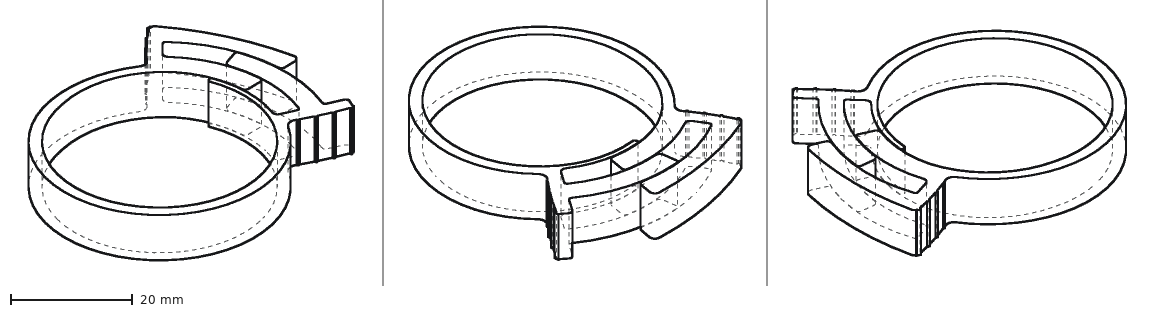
import cadquery as cq
import math


width = 9.0
ring_outer_r = 21.53
bore_r = 19.3

clearance = 0.08
flap_outer_r = 20.32
lower_jaw_outer_r = 24.72
middle_jaw_outer_r = 28.98
lower_jaw_inner_r = flap_outer_r + clearance
middle_jaw_inner_r = lower_jaw_outer_r + clearance
upper_jaw_inner_r = middle_jaw_outer_r + clearance
jaw_overlap = 9.0
flap_overlap = 10.4
upper_jaw_tip_r = 1.1
upper_jaw_heel_r = 0.8
middle_jaw_tip_r = 0.6
middle_jaw_heel_r = 1.0
lower_jaw_corner_r = 0.8
flap_corner_r = 0.4

back_r = 55.5
back_center_x = 4.9
back_center_y = -22.43

wall_outer_shift = 2.25
wall_end_lean = 38.0
wall_bore_mid_angle = 148.0
wall_bore_mid_r = 19.87
wall_bore_end_lean = 28.0

stem_root_r = 20.6
stem_inner_lean = 33.5
stem_lean_span = 12.0
left_root_lean = 39.6
left_lean_loss = 1.9
right_root_lean = 39.8
right_lean_loss = 1.6
left_stem_top_r = 34.5
right_stem_top_r = 33.35
left_neck_r = 1.5
right_neck_r = 1.7
window_inner_corner_r = 1.0
window_outer_corner_r = 0.5
notch_corner_r = 0.5
tip_inner_corner_r = 0.7
tip_outer_corner_r = 0.4
back_corner_r = 1.0

ridge_count = 4
ridge_lean = 0.6
ridge_root_lean = 0.3
ridge_foot = 0.3
ridge_tail = 0.6
left_ridge_first_r = 24.3
left_ridge_pitch = 2.9
right_ridge_first_r = 23.55
right_ridge_pitch = 3.12

LEFT = 1
RIGHT = -1


def polar(radius, angle):
    """Point at a radius and an angle from +X."""
    turn = math.radians(angle)
    return (radius * math.cos(turn), radius * math.sin(turn))


def leaning(radius, lean, side):
    """Point at a radius and a lean from the Y axis, on the given side."""
    return polar(radius, 90 + side * lean)


def ring_sector(inner_r, outer_r, start, end):
    """Part of the band between two radii and two angles."""
    middle = (start + end) / 2
    return (
        cq.Workplane("XY")
        .moveTo(*polar(inner_r, start))
        .lineTo(*polar(outer_r, start))
        .threePointArc(polar(outer_r, middle), polar(outer_r, end))
        .lineTo(*polar(inner_r, end))
        .threePointArc(polar(inner_r, middle), polar(inner_r, start))
        .close()
        .extrude(width)
    )


def round_corner(body, point, radius):
    """Fillet the edge along Z nearest to a point in plan."""
    nearest = cq.selectors.NearestToPointSelector((point[0], point[1], width / 2))
    return body.edges("|Z").edges(nearest).fillet(radius)


def stem(side, edge, top_r):
    """Plain stem with a radial inner edge and a gently bowed outer edge."""
    middle_r = (stem_root_r + top_r) / 2
    return (
        cq.Workplane("XY")
        .moveTo(*leaning(stem_root_r, stem_inner_lean, side))
        .lineTo(*leaning(stem_root_r, edge(stem_root_r), side))
        .threePointArc(leaning(middle_r, edge(middle_r), side), leaning(top_r, edge(top_r), side))
        .lineTo(*leaning(top_r, stem_inner_lean, side))
        .close()
        .extrude(width)
    )


def left_edge_lean(radius):
    """Lean of the outer edge of the left stem, straightening with radius."""
    return left_root_lean - left_lean_loss * ((radius - stem_root_r) / stem_lean_span) ** 2


def right_edge_lean(radius):
    """Lean of the outer edge of the right stem, straightening with radius."""
    return right_root_lean - right_lean_loss * ((radius - stem_root_r) / stem_lean_span) ** 2


def add_ridges(body, side, edge, first_r, pitch):
    """Add the row of sawtooth ridges along the outer edge of a stem."""
    for index in range(ridge_count):
        crest_r = first_r + index * pitch
        foot_r = crest_r - ridge_foot
        tail_r = crest_r + ridge_tail
        profile = [
            leaning(foot_r, edge(foot_r) - ridge_root_lean, side),
            leaning(crest_r, edge(crest_r) + ridge_lean, side),
            leaning(tail_r, edge(tail_r) - ridge_root_lean, side),
        ]
        body = body.union(cq.Workplane("XY").polyline(profile).close().extrude(width))
    return body


def left_wall():
    """Ring wall from the -X axis to the left stem, spiralling outward."""
    arc_r = ring_outer_r + wall_outer_shift
    arc_end = 90 + wall_end_lean
    arc_middle = (180 + arc_end) / 2
    middle = polar(arc_r, arc_middle)
    end = polar(arc_r, arc_end)
    return (
        cq.Workplane("XY")
        .moveTo(-bore_r, 0)
        .lineTo(-ring_outer_r, 0)
        .threePointArc(
            (middle[0] + wall_outer_shift, middle[1]),
            (end[0] + wall_outer_shift, end[1]),
        )
        .lineTo(*leaning(lower_jaw_outer_r, stem_inner_lean, LEFT))
        .lineTo(*leaning(lower_jaw_inner_r, wall_bore_end_lean, LEFT))
        .threePointArc(polar(wall_bore_mid_r, wall_bore_mid_angle), (-bore_r, 0))
        .close()
        .extrude(width)
    )


def right_half():
    """Ring, inner flap, right stem and the middle jaw."""
    stem_angle = 90 - stem_inner_lean
    flap_end = 90 + flap_overlap
    jaw_end = 90 + jaw_overlap
    flap = ring_sector(bore_r, flap_outer_r, stem_angle, flap_end)
    flap = round_corner(flap, polar(bore_r, flap_end), flap_corner_r)
    flap = round_corner(flap, polar(flap_outer_r, flap_end), flap_corner_r)
    jaw = ring_sector(middle_jaw_inner_r, middle_jaw_outer_r, stem_angle, jaw_end)
    jaw = round_corner(jaw, polar(middle_jaw_inner_r, jaw_end), middle_jaw_heel_r)
    jaw = round_corner(jaw, polar(middle_jaw_outer_r, jaw_end), middle_jaw_tip_r)
    ring = ring_sector(bore_r, ring_outer_r, -180, stem_angle)
    post = stem(RIGHT, right_edge_lean, right_stem_top_r)
    post = round_corner(post, leaning(right_stem_top_r, stem_inner_lean, RIGHT), tip_inner_corner_r)
    tip_lean = right_edge_lean(right_stem_top_r)
    post = round_corner(post, leaning(right_stem_top_r, tip_lean, RIGHT), tip_outer_corner_r)
    body = ring.union(post).union(jaw).union(flap)
    body = round_corner(body, polar(flap_outer_r, stem_angle), window_inner_corner_r)
    body = round_corner(body, polar(middle_jaw_inner_r, stem_angle), window_outer_corner_r)
    body = round_corner(body, polar(middle_jaw_outer_r, stem_angle), notch_corner_r)
    body = round_corner(body, leaning(ring_outer_r, right_root_lean, RIGHT), right_neck_r)
    return add_ridges(body, RIGHT, right_edge_lean, right_ridge_first_r, right_ridge_pitch)


def left_half():
    """Widened wall, left stem, lower jaw and upper jaw."""
    stem_angle = 90 + stem_inner_lean
    jaw_end = 90 - jaw_overlap
    lower_jaw = ring_sector(lower_jaw_inner_r, lower_jaw_outer_r, jaw_end, stem_angle)
    for corner_r in (lower_jaw_inner_r, lower_jaw_outer_r):
        lower_jaw = round_corner(lower_jaw, polar(corner_r, jaw_end), lower_jaw_corner_r)
    upper_jaw = ring_sector(upper_jaw_inner_r, left_stem_top_r, jaw_end, stem_angle)
    upper_jaw = round_corner(upper_jaw, polar(upper_jaw_inner_r, jaw_end), upper_jaw_heel_r)
    post = stem(LEFT, left_edge_lean, left_stem_top_r)
    back = cq.Workplane("XY").center(back_center_x, back_center_y).circle(back_r).extrude(width)
    body = left_wall().union(post).union(lower_jaw).union(upper_jaw).intersect(back)
    back_top_r = back_r + back_center_y
    body = round_corner(body, polar(lower_jaw_outer_r, stem_angle), window_inner_corner_r)
    body = round_corner(body, polar(upper_jaw_inner_r, stem_angle), window_outer_corner_r)
    body = round_corner(body, polar(back_top_r, jaw_end), upper_jaw_tip_r)
    body = round_corner(body, leaning(back_top_r, left_edge_lean(back_top_r), LEFT), back_corner_r)
    body = round_corner(body, leaning(ring_outer_r, left_root_lean, LEFT), left_neck_r)
    return add_ridges(body, LEFT, left_edge_lean, left_ridge_first_r, left_ridge_pitch)


result = right_half().union(left_half())